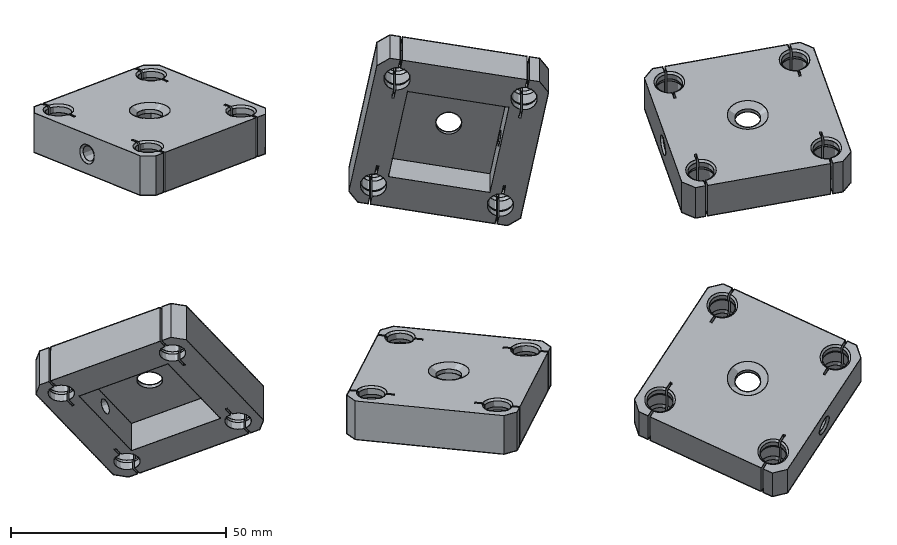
import cadquery as cq
import math

side = 40.6
thickness = 10.0
corner_chamfer = 2.6

bore_pitch = 30.0
bore_diameter = 6.1
bore_mouth_diameter = 7.1
bore_mouth_depth = (bore_mouth_diameter - bore_diameter) / 2
relief_diameter = 6.8
relief_taper_height = 1.0
bore_land = 2.0
slot_width = 0.5
slot_reach = 5.4

pocket_side = 24.0
floor_thickness = 2.0
pocket_depth = thickness - floor_thickness

centre_diameter = 6.0
centre_mouth_diameter = 9.5
centre_mouth_angle = 120.0
centre_mouth_depth = (
    (centre_mouth_diameter - centre_diameter) / 2 / math.tan(math.radians(centre_mouth_angle / 2))
)

side_hole_diameter = 3.7
side_hole_mouth_diameter = 4.8
side_hole_mouth_depth = (side_hole_mouth_diameter - side_hole_diameter) / 2
side_hole_depth = (side - pocket_side) / 2

top = thickness / 2
bore_offset = bore_pitch / 2


def make_plate():
    plate = cq.Workplane("XY").box(side, side, thickness)
    return plate.edges("|Z").chamfer(corner_chamfer)


def flared_hole(diameter, mouth_diameter, mouth_depth, depth):
    """Cutter for a hole that opens at the origin and runs down along -Z."""
    radius = diameter / 2
    mouth_radius = mouth_diameter / 2
    profile = (
        cq.Workplane("XZ")
        .moveTo(0, 0)
        .lineTo(mouth_radius, 0)
        .lineTo(radius, -mouth_depth)
        .lineTo(radius, -depth)
        .lineTo(0, -depth)
        .close()
    )
    return profile.revolve(360, (0, 0, 0), (0, 1, 0))


def bore_relief():
    """Cutter for the wider middle of a corner bore, tapered at both ends."""
    bore_radius = bore_diameter / 2
    relief_radius = relief_diameter / 2
    taper_start = top - bore_land
    taper_end = taper_start - relief_taper_height
    profile = (
        cq.Workplane("XZ")
        .moveTo(0, taper_start)
        .lineTo(bore_radius, taper_start)
        .lineTo(relief_radius, taper_end)
        .lineTo(relief_radius, -taper_end)
        .lineTo(bore_radius, -taper_start)
        .lineTo(0, -taper_start)
        .close()
    )
    return profile.revolve(360, (0, 0, 0), (0, 1, 0))


def clamp_slot(x_sign, y_sign):
    """Cutter for the slot from one X side through a corner bore."""
    length = side / 2 - bore_offset + slot_reach
    x_centre = x_sign * (side - length) / 2
    slot = cq.Workplane("XY").box(length, slot_width, thickness)
    return slot.translate((x_centre, y_sign * bore_offset, 0))


def cut_corner_bores(body):
    bore = flared_hole(bore_diameter, bore_mouth_diameter, bore_mouth_depth, thickness)
    bore = bore.translate((0, 0, top)).union(bore_relief())
    for x_sign in (-1, 1):
        for y_sign in (-1, 1):
            body = body.cut(bore.translate((x_sign * bore_offset, y_sign * bore_offset, 0)))
            body = body.cut(clamp_slot(x_sign, y_sign))
    return body


def cut_pocket(body):
    pocket = cq.Workplane("XY").box(pocket_side, pocket_side, pocket_depth)
    return body.cut(pocket.translate((0, 0, pocket_depth / 2 - top)))


def cut_centre_hole(body):
    hole = flared_hole(centre_diameter, centre_mouth_diameter, centre_mouth_depth, floor_thickness)
    return body.cut(hole.translate((0, 0, top)))


def cut_side_hole(body):
    hole = flared_hole(
        side_hole_diameter, side_hole_mouth_diameter, side_hole_mouth_depth, side_hole_depth
    )
    hole = hole.rotate((0, 0, 0), (1, 0, 0), 90)
    return body.cut(hole.translate((0, -side / 2, 0)))


plate = make_plate()
plate = cut_corner_bores(plate)
plate = cut_pocket(plate)
plate = cut_centre_hole(plate)
result = cut_side_hole(plate)